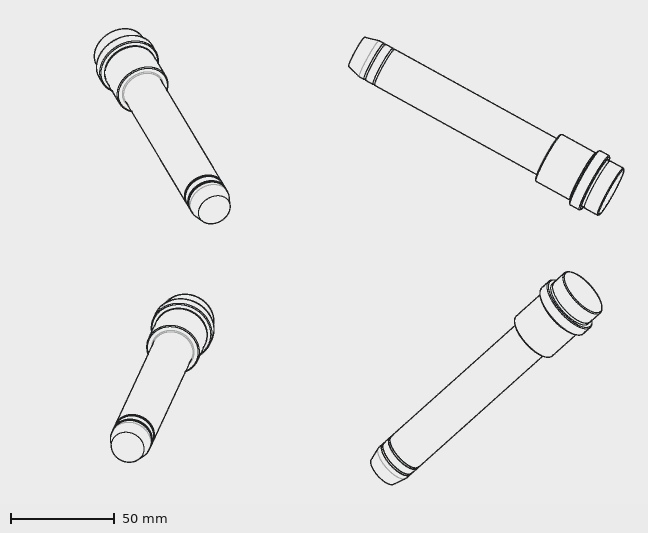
import cadquery as cq
import math

total_length = 141.0
head_diameter = 26.0
collar_diameter = 30.0
shaft_diameter = 20.0

collar_start = 9.0
collar_width = 6.0
collar_end = collar_start + collar_width
head_end = 35.0

edge_chamfer = 0.5
shaft_root_fillet = 0.5

rear_relief_width = 1.3
rear_relief_depth = 0.4
front_relief_width = 0.8
front_relief_depth = 0.4

ring_starts = (125.5, 130.5)
ring_width = 1.0
ring_depth = 0.25

tip_length = 7.0
tip_half_angle = 15.0

head_radius = head_diameter / 2
collar_radius = collar_diameter / 2
shaft_radius = shaft_diameter / 2
front_relief_radius = head_radius - front_relief_depth
ring_radius = shaft_radius - ring_depth
tip_radius = shaft_radius - tip_length * math.tan(math.radians(tip_half_angle))


def add_rear_head(outline):
    """End face, chamfered rim and cylinder up to the rear relief."""
    return (
        outline.moveTo(0, 0)
        .lineTo(0, head_radius - edge_chamfer)
        .lineTo(edge_chamfer, head_radius)
        .lineTo(collar_start - rear_relief_width, head_radius)
    )


def add_rear_relief(outline):
    """Round-bottomed groove that runs up to the collar face."""
    return outline.threePointArc(
        (collar_start - rear_relief_width / 2, head_radius - rear_relief_depth),
        (collar_start, head_radius),
    )


def add_collar(outline):
    """Collar with both rims chamfered, down to the floor of the front relief."""
    return (
        outline.lineTo(collar_start, collar_radius - edge_chamfer)
        .lineTo(collar_start + edge_chamfer, collar_radius)
        .lineTo(collar_end - edge_chamfer, collar_radius)
        .lineTo(collar_end, collar_radius - edge_chamfer)
        .lineTo(collar_end, front_relief_radius)
    )


def add_front_head(outline):
    """Front relief, cylinder and chamfered shoulder, ending with the fillet at the shaft root."""
    relief_end = collar_end + front_relief_width
    bend = shaft_root_fillet * (1 - math.sqrt(0.5))
    return (
        outline.lineTo(relief_end, front_relief_radius)
        .lineTo(relief_end, head_radius)
        .lineTo(head_end - edge_chamfer, head_radius)
        .lineTo(head_end, head_radius - edge_chamfer)
        .lineTo(head_end, shaft_radius + shaft_root_fillet)
        .threePointArc(
            (head_end + bend, shaft_radius + bend),
            (head_end + shaft_root_fillet, shaft_radius),
        )
    )


def add_ring(outline, start):
    """Shallow square ring groove in the shaft."""
    return (
        outline.lineTo(start, shaft_radius)
        .lineTo(start, ring_radius)
        .lineTo(start + ring_width, ring_radius)
        .lineTo(start + ring_width, shaft_radius)
    )


def add_tip(outline):
    """Tapered tip and flat end face."""
    return (
        outline.lineTo(total_length - tip_length, shaft_radius)
        .lineTo(total_length, tip_radius)
        .lineTo(total_length, 0)
    )


profile = add_rear_head(cq.Workplane("XY"))
profile = add_rear_relief(profile)
profile = add_collar(profile)
profile = add_front_head(profile)
for ring_start in ring_starts:
    profile = add_ring(profile, ring_start)
profile = add_tip(profile).close()

result = profile.revolve(360, (0, 0, 0), (1, 0, 0))